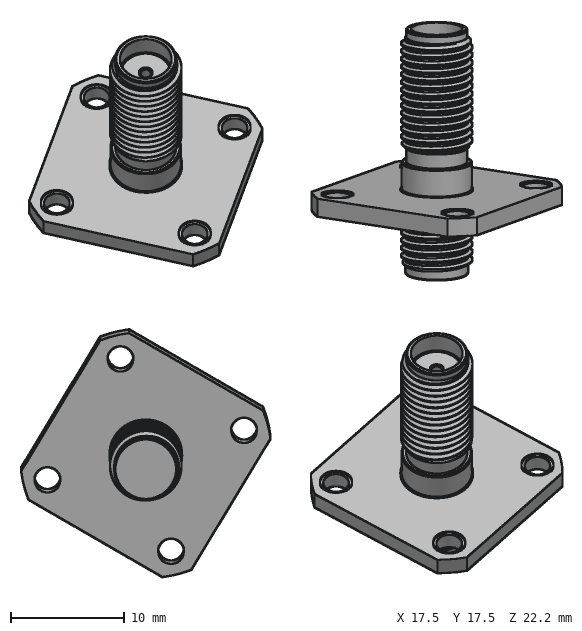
import cadquery as cq
import math

total_height = 22.25
flange_bottom = 6.0
flange_top = 7.65
lower_collar_bottom = 5.27
shoulder_top = 10.2
lower_thread_bottom = 0.8
lower_thread_top = 4.6
upper_thread_bottom = 11.45
upper_thread_top = 21.52

flange_width = 17.49
flange_corner_diameter = 22.25
hole_spacing = 12.68
hole_diameter = 2.27
recess_diameter = 2.85
recess_depth = 0.13

neck_diameter = 5.43
lower_barrel_diameter = 5.58
shoulder_diameter = 6.23
shoulder_base_diameter = 6.45
lower_collar_diameter = 6.35
edge_chamfer = 0.11
collar_flare = 0.1

thread_diameter = 6.35
root_diameter = 5.58
pitch = thread_diameter / 9
crest_width = 0.07
flank_angle = 30.0
root_overlap = 0.1
trim_margin = 0.22
trim_length = 3.34
root_margin = 2 * pitch
upper_helix_start = 10.48
upper_helix_turns = 17
lower_helix_start = 0.33
lower_helix_turns = 7

socket_diameter = 4.56
socket_depth = 1.9
socket_floor_chamfer = 0.1
contact_mouth_diameter = 1.2
contact_diameter = 0.93
contact_depth = 2.22
contact_chamfer = (contact_mouth_diameter - contact_diameter) / 2


def cylinder(diameter, bottom, top):
    return cq.Workplane("XY").workplane(offset=bottom).circle(diameter / 2).extrude(top - bottom)


def cone(bottom_diameter, top_diameter, bottom, top):
    outline = [(0, bottom), (bottom_diameter / 2, bottom), (top_diameter / 2, top), (0, top)]
    return cq.Workplane("XZ").polyline(outline).close().revolve(360, (0, 0), (0, 1))


def make_flange():
    height = flange_top - flange_bottom
    plate = cq.Workplane("XY").workplane(offset=flange_bottom).rect(flange_width, flange_width).extrude(height)
    plate = plate.intersect(cylinder(flange_corner_diameter, flange_bottom, flange_top))
    return (
        plate.faces(">Z").workplane(origin=(0, 0, flange_top))
        .rect(hole_spacing, hole_spacing, forConstruction=True).vertices()
        .cboreHole(hole_diameter, recess_diameter, recess_depth)
    )


def make_barrel():
    lower = cylinder(lower_barrel_diameter, 0, flange_bottom).faces("<Z").chamfer(edge_chamfer)
    collar = cylinder(lower_collar_diameter, lower_collar_bottom, flange_bottom)
    collar = collar.faces("<Z").chamfer(edge_chamfer)
    collar_base = cone(lower_collar_diameter, shoulder_base_diameter, flange_bottom - collar_flare, flange_bottom)
    shoulder = cylinder(shoulder_diameter, flange_bottom, shoulder_top).faces(">Z").chamfer(edge_chamfer)
    shoulder_base = cone(shoulder_base_diameter, shoulder_diameter, flange_top, flange_top + collar_flare)
    neck = cylinder(neck_diameter, flange_bottom, total_height).faces(">Z").chamfer(edge_chamfer)
    return lower.union(collar).union(collar_base).union(shoulder).union(shoulder_base).union(neck)


def helical_ridge(corners, turns):
    """Solid swept by a closed profile of (radius, height) corners along the thread helix."""
    edges = [
        cq.Wire.makeHelix(pitch, pitch * turns, radius, cq.Vector(0, 0, height)).Edges()[0]
        for radius, height in corners
    ]
    following_edges = edges[1:] + edges[:1]
    faces = [cq.Face.makeRuledSurface(first, second) for first, second in zip(edges, following_edges)]
    for end in (0, 1):
        outline = [edge.positionAt(end) for edge in edges]
        faces.append(cq.Face.makeFromWires(cq.Wire.makePolygon(outline, close=True)))
    return cq.Workplane(cq.Solid.makeSolid(cq.Shell.makeShell(faces)))


def make_thread(bottom, top, barrel_diameter, helix_start, turns):
    """Helical ridge on a root cylinder, bevelled at 45 degrees down to the barrel at both ends."""
    root_radius = root_diameter / 2 - root_overlap
    crest_radius = thread_diameter / 2
    half_crest = crest_width / 2
    half_root = half_crest + (crest_radius - root_radius) * math.tan(math.radians(flank_angle))
    corners = [
        (root_radius, helix_start - half_root),
        (crest_radius, helix_start - half_crest),
        (crest_radius, helix_start + half_crest),
        (root_radius, helix_start + half_root),
    ]
    ridge = helical_ridge(corners, turns)
    slope_reach = (thread_diameter - barrel_diameter) / 2 + trim_margin
    outer_radius = barrel_diameter / 2 + slope_reach
    thread = cylinder(root_diameter, bottom - root_margin, top + root_margin).union(ridge)
    for end, inward in ((bottom, 1), (top, -1)):
        outer_end = end - inward * trim_length
        outline = [
            (0, end),
            (barrel_diameter / 2, end),
            (outer_radius, end + inward * slope_reach),
            (outer_radius, outer_end),
            (0, outer_end),
        ]
        thread = thread.cut(cq.Workplane("XZ").polyline(outline).close().revolve(360, (0, 0), (0, 1)))
    return thread


def make_socket():
    floor = total_height - socket_depth
    bore = cylinder(socket_diameter, floor, total_height).faces("<Z").chamfer(socket_floor_chamfer)
    contact = cylinder(contact_diameter, floor - contact_depth, floor)
    contact_mouth = cone(contact_diameter, contact_mouth_diameter, floor - contact_chamfer, floor)
    return bore.union(contact).union(contact_mouth)


upper_thread = make_thread(
    upper_thread_bottom, upper_thread_top, neck_diameter, upper_helix_start, upper_helix_turns
)
lower_thread = make_thread(
    lower_thread_bottom, lower_thread_top, lower_barrel_diameter, lower_helix_start, lower_helix_turns
)

body = make_flange().union(make_barrel())
result = body.union(upper_thread).union(lower_thread).cut(make_socket())